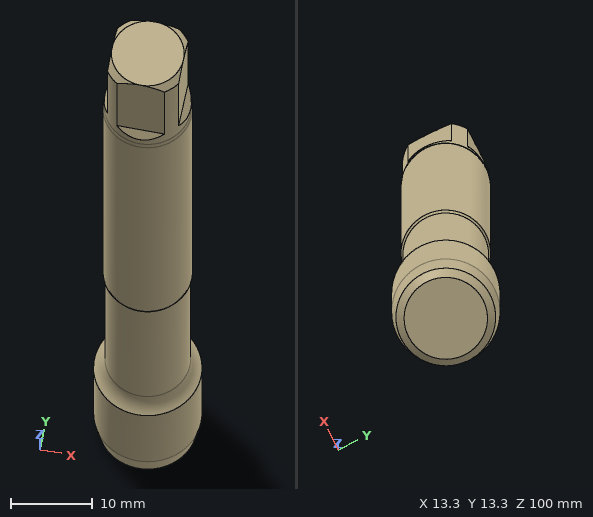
import cadquery as cq
import math

TOTAL_LENGTH = 100.0
HEAD_DIAMETER = 13.3
SHANK_DIAMETER = 11.0
NECK_DIAMETER = 10.5
TANG_DIAMETER = 10.7

HEAD_LENGTH = 16.2
LEAD_LENGTH = 3.9
LEAD_END_RADIUS = 6.1
TIP_CHAMFER_HEIGHT = 0.8
TIP_RADIUS = 5.1

FLARE_HEIGHT = 2.4
SHANK_BOTTOM = 41.2
SHANK_TOP = 86.1
SHANK_BEVEL_HEIGHT = 0.6

SQUARE_WIDTH = 8.9
SQUARE_LENGTH = 11.9
RUN_OUT_ANGLE = math.radians(45)
TOP_CHAMFER_HEIGHT = 0.7

HEAD_RADIUS = HEAD_DIAMETER / 2
SHANK_RADIUS = SHANK_DIAMETER / 2
NECK_RADIUS = NECK_DIAMETER / 2
TANG_RADIUS = TANG_DIAMETER / 2
HALF_SQUARE = SQUARE_WIDTH / 2
SQUARE_BOTTOM = TOTAL_LENGTH - SQUARE_LENGTH


def make_head():
    """Cutting head: a cylinder with a slightly tapered lead and a chamfered tip."""
    return (
        cq.Workplane("XZ")
        .lineTo(TIP_RADIUS, 0)
        .lineTo(LEAD_END_RADIUS, TIP_CHAMFER_HEIGHT)
        .lineTo(HEAD_RADIUS, LEAD_LENGTH)
        .lineTo(HEAD_RADIUS, HEAD_LENGTH)
        .lineTo(0, HEAD_LENGTH)
        .close()
        .revolve(360, (0, 0, 0), (0, 1, 0))
    )


def make_turned_shank():
    """Flare, neck, shank and round tang as one turned solid."""
    flare_width = HEAD_RADIUS - NECK_RADIUS
    arc_radius = (FLARE_HEIGHT**2 + flare_width**2) / (2 * flare_width)
    half_angle = math.asin(FLARE_HEIGHT / arc_radius) / 2
    flare_top = HEAD_LENGTH + FLARE_HEIGHT
    arc_middle = (
        NECK_RADIUS + arc_radius * (1 - math.cos(half_angle)),
        flare_top - arc_radius * math.sin(half_angle),
    )
    return (
        cq.Workplane("XZ")
        .moveTo(0, HEAD_LENGTH)
        .lineTo(HEAD_RADIUS, HEAD_LENGTH)
        .threePointArc(arc_middle, (NECK_RADIUS, flare_top))
        .lineTo(NECK_RADIUS, SHANK_BOTTOM)
        .lineTo(SHANK_RADIUS, SHANK_BOTTOM + SHANK_BEVEL_HEIGHT)
        .lineTo(SHANK_RADIUS, SHANK_TOP - SHANK_BEVEL_HEIGHT)
        .lineTo(TANG_RADIUS, SHANK_TOP)
        .lineTo(TANG_RADIUS, TOTAL_LENGTH - TOP_CHAMFER_HEIGHT)
        .lineTo(HALF_SQUARE, TOTAL_LENGTH)
        .lineTo(0, TOTAL_LENGTH)
        .close()
        .revolve(360, (0, 0, 0), (0, 1, 0))
    )


def make_flat_cutter():
    """Cutter for one flat on the +X side, with a sloping run-out at its lower end."""
    run_out_height = (SHANK_RADIUS - HALF_SQUARE) * math.tan(RUN_OUT_ANGLE)
    return (
        cq.Workplane("XZ")
        .moveTo(HALF_SQUARE, TOTAL_LENGTH)
        .lineTo(HALF_SQUARE, SQUARE_BOTTOM)
        .lineTo(SHANK_RADIUS, SQUARE_BOTTOM - run_out_height)
        .lineTo(SHANK_RADIUS, TOTAL_LENGTH)
        .close()
        .extrude(SHANK_RADIUS, both=True)
    )


def make_shank():
    """Turned shank with four flats that form the square drive."""
    shank = make_turned_shank()
    for angle in (0, 90, 180, 270):
        shank = shank.cut(make_flat_cutter().rotate((0, 0, 0), (0, 0, 1), angle))
    return shank


head = make_head()
shank = make_shank()

result = cq.Compound.makeCompound([head.val(), shank.val()])